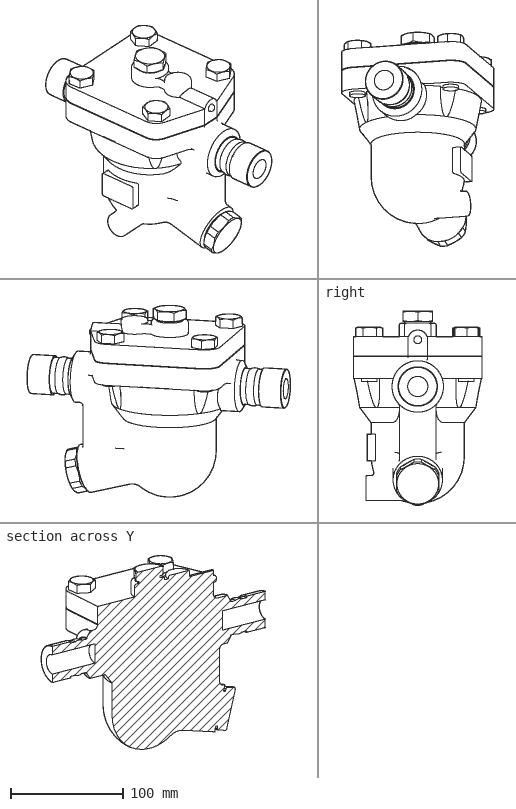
import cadquery as cq
import math


box_margin = 0.2

flange_width = 115.0
bolt_offset = 43.3
corner_radius = flange_width / 2 - bolt_offset
flange_tip_x = 70.5
flange_tip_half_width = 9.0
flange_bottom = 7.0
flange_top = 44.5
joint_z = 27.1
joint_height = 0.5
joint_inset = 0.2

bolt_across_flats = 21.0
bolt_head_height = 8.5
bolt_twist = 3.0
shank_diameter = 14.0
shank_projection = 2.5
spotface_radius = 9.4
hex_bevel_height = 1.0
bevel_inset = 0.2

cone_top_radius = 56.9
shoulder_radius = 52.0
shoulder_z = -18.7
body_radius = 41.7
neck_z = -32.3
dome_z = -62.7

pipe_length = 234.0
pipe_start = -107.0
pipe_end = pipe_start + pipe_length
pipe_radius = 23.0
end_radius = 17.5
groove_radius = 16.1
end_length = 20.5
end_chamfer = 0.5
bead_start = 25.5
bead_length = 7.3
bead_height = 1.0
groove_end = 37.7
flare_radius = 17.0
flare_end = 41.5
bore_diameter = 18.0
bore_depth = 46.8
pipe_fillet = 4.2

vent_radius = 16.5
small_boss_radius = 12.0
small_boss_x = 32.3
boss_base = 29.5
boss_top = 56.5
boss_fillet = 1.9
link_half_width = 7.0
link_top = 53.4
link_fillet = 4.7
ridge_radius = 8.7
ridge_z = 41.7
bead_radius = 3.5
vent_plug_across_flats = 26.5
vent_plug_neck_radius = 11.7
vent_plug_gap = 1.5
vent_plug_height = 9.4

arm_angle = 15.0
arm_radius = 22.0
arm_length = 80.0
arm_chamfer = 0.7
arm_root_fillet = 16.4
cap_gap = 1.6
cap_height = 11.2
cap_across_flats = 37.7
cap_corner_radius = 20.1
cap_neck_radius = 16.4

web_x = 77.2
web_half_thickness = 16.4
web_body_fillet = 16.4
web_edge_radius = 6.3
web_end_fillet = 3.7
web_sink = 11.7

plate_width = 36.0
plate_top = -42.4
plate_bottom = -66.2
plate_face_y = -45.2
plate_corner_radius = 1.9
plate_sink = 2.3
drain_z = -90.5
drain_radius = 11.2
drain_face_y = -46.3
drain_edge_fillet = 1.2
drain_root_fillet = 2.3


def hex_head(across_flats, height, turn=0.0, tip_radius=None, both_ends=False):
    """Hexagon along +Z, a corner on +X before turning, with corners bevelled by a round chamfer."""
    full_radius = across_flats / 2 / math.cos(math.radians(30))
    envelope_radius = tip_radius or full_radius
    bevel_width = envelope_radius - across_flats / 2 + bevel_inset
    envelope = cq.Workplane("XY").circle(envelope_radius).extrude(height)
    envelope = envelope.faces("|Z" if both_ends else ">Z").edges().chamfer(hex_bevel_height, bevel_width)
    hexagon = cq.Workplane("XY").polygon(6, 2 * full_radius).extrude(height)
    return hexagon.intersect(envelope).rotate((0, 0, 0), (0, 0, 1), turn)


def flange_outline(bottom, top, inset=0.0):
    """Square plate on the -X side, tapering to a narrow flat on the +X side."""
    radius = corner_radius - inset
    tip_x = flange_tip_x - inset
    tip_y = flange_tip_half_width
    reach = math.hypot(tip_x - bolt_offset, bolt_offset - tip_y)
    normal = math.atan2(tip_y - bolt_offset, tip_x - bolt_offset) + math.acos(radius / reach)
    tangent_x = bolt_offset + radius * math.cos(normal)
    tangent_y = bolt_offset + radius * math.sin(normal)
    mid = (normal + math.pi / 2) / 2
    mid_x = bolt_offset + radius * math.cos(mid)
    mid_y = bolt_offset + radius * math.sin(mid)
    side = bolt_offset + radius
    diagonal = bolt_offset + radius * math.sqrt(0.5)
    return (
        cq.Workplane("XY", origin=(0, 0, bottom))
        .moveTo(tip_x, -tip_y)
        .lineTo(tip_x, tip_y)
        .lineTo(tangent_x, tangent_y)
        .threePointArc((mid_x, mid_y), (bolt_offset, side))
        .lineTo(-bolt_offset, side)
        .threePointArc((-diagonal, diagonal), (-side, bolt_offset))
        .lineTo(-side, -bolt_offset)
        .threePointArc((-diagonal, -diagonal), (-bolt_offset, -side))
        .lineTo(bolt_offset, -side)
        .threePointArc((mid_x, -mid_y), (tangent_x, -tangent_y))
        .close()
        .extrude(top - bottom)
    )


def make_pipe_barrel():
    barrel_start = pipe_start + flare_end
    barrel_length = pipe_end - flare_end - barrel_start
    return cq.Workplane("YZ", origin=(barrel_start, 0, 0)).circle(pipe_radius).extrude(barrel_length)


def make_flange():
    """Flange plates with the barrel filleted into their sides above the flange bottom."""
    block = flange_outline(-flange_top, flange_top)
    reach = pipe_radius + box_margin
    rim_zone = cq.selectors.BoxSelector((pipe_start, -reach, -reach), (pipe_end, reach, reach))
    rim = block.union(make_pipe_barrel()).edges(rim_zone).edges("not(<X or >X)").edges("not |Z")
    filleted = rim.fillet(pipe_fillet)
    keep_size = 2 * pipe_length
    keep = cq.Workplane("XY", origin=(0, 0, flange_bottom)).rect(keep_size, keep_size).extrude(flange_top)
    flange = filleted.intersect(keep)
    joint_bottom = joint_z - joint_height / 2
    joint_top = joint_z + joint_height / 2
    groove = flange_outline(joint_bottom, joint_top).cut(flange_outline(joint_bottom, joint_top, joint_inset))
    return flange.cut(groove)


def make_body():
    """Tapered bowl with a hemispherical bottom and spotfaces under the bolts."""
    dome_bottom = dome_z - body_radius
    arc_x = body_radius * math.sqrt(0.5)
    bowl = (
        cq.Workplane("XZ")
        .moveTo(0, flange_bottom)
        .lineTo(cone_top_radius, flange_bottom)
        .lineTo(shoulder_radius, shoulder_z)
        .lineTo(body_radius, neck_z)
        .lineTo(body_radius, dome_z)
        .threePointArc((arc_x, dome_z - arc_x), (0, dome_bottom))
        .close()
        .revolve(360, (0, 0, 0), (0, 1, 0))
    )
    spotfaces = (
        cq.Workplane("XY", origin=(0, 0, flange_bottom))
        .rect(2 * bolt_offset, 2 * bolt_offset, forConstruction=True)
        .vertices()
        .circle(spotface_radius)
        .extrude(shoulder_z - flange_bottom)
    )
    return bowl.cut(spotfaces)


def make_pipe_end():
    """Turned pipe end along +X, starting with its outer face at X = 0."""
    bead_mid = bead_start + bead_length / 2
    return (
        cq.Workplane("XY")
        .lineTo(0, end_radius - end_chamfer)
        .lineTo(end_chamfer, end_radius)
        .lineTo(end_length, end_radius)
        .lineTo(end_length, groove_radius)
        .lineTo(bead_start, groove_radius)
        .threePointArc((bead_mid, groove_radius + bead_height), (bead_start + bead_length, groove_radius))
        .lineTo(groove_end, groove_radius)
        .lineTo(groove_end, flare_radius)
        .lineTo(flare_end, pipe_radius)
        .lineTo(flare_end, 0)
        .close()
        .revolve(360, (0, 0, 0), (1, 0, 0))
    )


def make_bore():
    return cq.Workplane("YZ").circle(bore_diameter / 2).extrude(bore_depth)


def at_pipe_ends(shape):
    inlet = shape.translate((pipe_start, 0, 0))
    outlet = shape.mirror("YZ").translate((pipe_end, 0, 0))
    return inlet.union(outlet)


def make_bolts():
    """Four bolts, each head a quarter turn on from its neighbour."""
    bolts = cq.Workplane("XY")
    for index in range(4):
        corner_angle = math.radians(45 + 90 * index)
        x = math.copysign(bolt_offset, math.cos(corner_angle))
        y = math.copysign(bolt_offset, math.sin(corner_angle))
        head = hex_head(bolt_across_flats, bolt_head_height, 90 * index + bolt_twist)
        shank_bottom = flange_bottom - shank_projection
        shank = (
            cq.Workplane("XY", origin=(x, y, shank_bottom))
            .circle(shank_diameter / 2)
            .extrude(flange_top - shank_bottom)
        )
        bolts = bolts.union(head.translate((x, y, flange_top))).union(shank)
    return bolts


def make_cover_bosses():
    """Two round bosses joined by a lower link with rounded inside corners."""

    def column(x, radius):
        return cq.Workplane("XY", origin=(x, 0, boss_base)).circle(radius).extrude(boss_top - boss_base)

    link = (
        cq.Workplane("XY", origin=(small_boss_x / 2, 0, boss_base))
        .rect(small_boss_x, 2 * link_half_width)
        .extrude(link_top - boss_base)
    )
    bosses = column(0, vent_radius).union(column(small_boss_x, small_boss_radius)).union(link)
    inside_corners = cq.selectors.BoxSelector(
        (0, -link_half_width - box_margin, boss_base), (small_boss_x, link_half_width + box_margin, boss_top)
    )
    bosses = bosses.edges("|Z").edges(inside_corners).fillet(link_fillet)
    return bosses.faces(">Z").edges().fillet(boss_fillet)


def make_vent():
    """Vent bosses, the ridge to the outlet side and the hexagon plug."""
    ridge = (
        cq.Workplane("YZ", origin=(small_boss_x, 0, ridge_z))
        .circle(ridge_radius)
        .extrude(flange_tip_x - small_boss_x)
    )
    bead = cq.Workplane("XY").sphere(bead_radius).translate((flange_tip_x, 0, ridge_z))
    neck = cq.Workplane("XY", origin=(0, 0, boss_top)).circle(vent_plug_neck_radius).extrude(vent_plug_gap)
    plug = hex_head(vent_plug_across_flats, vent_plug_height, both_ends=True)
    plug = plug.translate((0, 0, boss_top + vent_plug_gap))
    return make_cover_bosses().union(ridge).union(bead).union(neck).union(plug)


def tilt_to_arm(shape):
    """Turn a shape built along +Z onto the arm axis."""
    return shape.rotate((0, 0, 0), (0, 1, 0), 90 + arm_angle).translate((0, 0, dome_z))


def make_arm():
    """Arm with a root fillet that touches both the dome and the arm cylinder."""
    fillet_r = arm_radius + arm_root_fillet
    fillet_z = math.sqrt((body_radius + arm_root_fillet) ** 2 - fillet_r**2)
    touch = body_radius / (body_radius + arm_root_fillet)
    slope = math.atan2(-fillet_z, -fillet_r)
    mid_angle = (slope % (2 * math.pi) + math.pi) / 2
    arc_mid = (
        fillet_r + arm_root_fillet * math.cos(mid_angle),
        fillet_z + arm_root_fillet * math.sin(mid_angle),
    )
    arm = (
        cq.Workplane("XZ")
        .lineTo(fillet_r * touch, fillet_z * touch)
        .threePointArc(arc_mid, (arm_radius, fillet_z))
        .lineTo(arm_radius, arm_length - arm_chamfer)
        .lineTo(arm_radius - arm_chamfer, arm_length)
        .lineTo(0, arm_length)
        .close()
        .revolve(360, (0, 0, 0), (0, 1, 0))
    )
    return tilt_to_arm(arm)


def make_cap():
    neck = cq.Workplane("XY", origin=(0, 0, arm_length)).circle(cap_neck_radius).extrude(cap_gap)
    head = hex_head(cap_across_flats, cap_height, tip_radius=cap_corner_radius, both_ends=True)
    return tilt_to_arm(neck.union(head.translate((0, 0, arm_length + cap_gap))))


def make_web():
    """Upright web with a rounded outer edge and wide fillets onto the body."""
    blend_y = web_half_thickness + web_body_fillet
    blend_distance = body_radius + web_body_fillet
    blend_x = math.sqrt(blend_distance**2 - blend_y**2)
    touch = body_radius / blend_distance
    mid_angle = (math.atan2(-blend_y, -blend_x) - math.pi / 2) / 2
    mid_x = blend_x + web_body_fillet * math.cos(mid_angle)
    mid_y = blend_y + web_body_fillet * math.sin(mid_angle)
    plan = (
        cq.Workplane("XY")
        .lineTo(blend_x * touch, -blend_y * touch)
        .threePointArc((mid_x, -mid_y), (blend_x, -web_half_thickness))
        .lineTo(web_x, -web_half_thickness)
        .lineTo(web_x, web_half_thickness)
        .lineTo(blend_x, web_half_thickness)
        .threePointArc((mid_x, mid_y), (blend_x * touch, blend_y * touch))
        .close()
        .extrude(2 * dome_z)
    )
    rounded = plan.edges("|Z and >X").fillet(web_edge_radius)
    lower_start = dome_z + web_sink
    lower_end = lower_start - web_x * math.tan(math.radians(arm_angle))
    side = (
        cq.Workplane("XZ")
        .lineTo(web_x, 0)
        .lineTo(web_x, lower_end)
        .lineTo(0, lower_start)
        .close()
        .extrude(body_radius, both=True)
    )
    return rounded.intersect(side)


def make_web_ends():
    """Slab through the web, filleted where it meets the barrel and the arm."""
    slab_start = body_radius / 3
    slab_end = dome_z - web_sink
    slab = (
        cq.Workplane("XY", origin=((slab_start + web_x) / 2, 0, 0))
        .rect(web_x - slab_start, 2 * web_half_thickness)
        .extrude(slab_end)
        .edges("|Z and >X")
        .fillet(web_edge_radius)
    )
    arm_cylinder = tilt_to_arm(cq.Workplane("XY").circle(arm_radius).extrude(arm_length))
    reach = web_half_thickness + box_margin
    meeting_zone = cq.selectors.BoxSelector(
        (slab_start - box_margin, -reach, slab_end), (web_x + box_margin, reach, 0), boundingbox=True
    )
    joined = make_pipe_barrel().union(slab).union(arm_cylinder)
    return joined.edges(meeting_zone).fillet(web_end_fillet)


def make_plate():
    height = plate_top - plate_bottom
    back_y = -math.sqrt(body_radius**2 - plate_width**2 / 4) + plate_sink
    plate = (
        cq.Workplane("XZ", origin=(0, back_y, (plate_top + plate_bottom) / 2))
        .rect(plate_width, height)
        .extrude(back_y - plate_face_y)
    )
    return plate.edges("|Y").fillet(plate_corner_radius)


def add_drain(body):
    """Body with the drain boss filleted into the dome."""
    drain = cq.Workplane("XZ", origin=(0, 0, drain_z)).circle(drain_radius).extrude(-drain_face_y)
    drain = drain.faces("<Y").edges().fillet(drain_edge_fillet)
    reach = drain_radius + box_margin
    root_zone = cq.selectors.BoxSelector(
        (-reach, -body_radius, drain_z - reach), (reach, 0, drain_z + reach), boundingbox=True
    )
    return body.union(drain).edges(root_zone).fillet(drain_root_fillet)


result = make_flange().union(make_pipe_barrel()).union(add_drain(make_body()))
result = result.union(make_web()).union(make_arm()).union(make_web_ends())
result = result.union(at_pipe_ends(make_pipe_end())).cut(at_pipe_ends(make_bore()))
result = result.union(make_bolts()).union(make_vent()).union(make_cap())
result = result.union(make_plate())